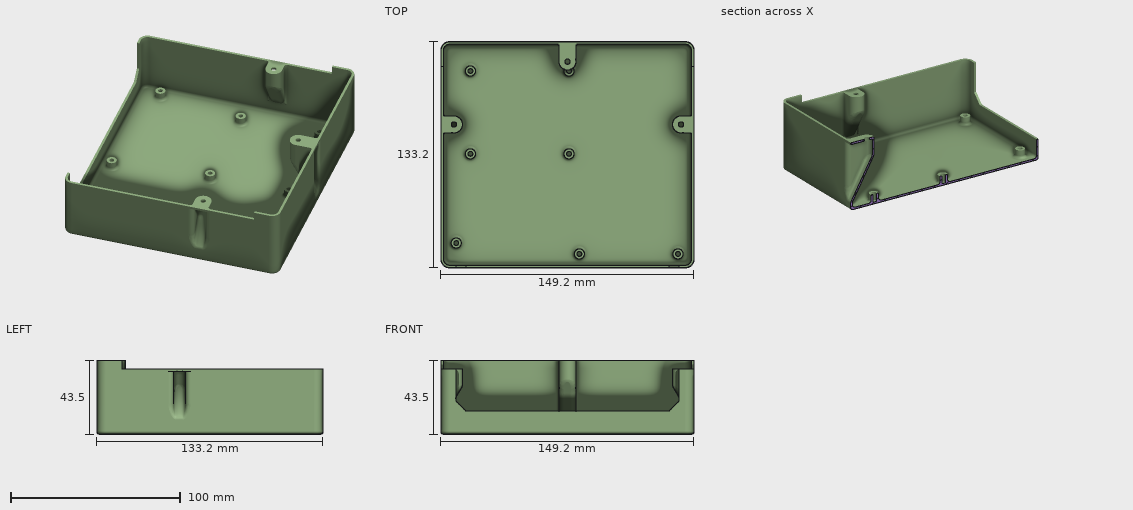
import cadquery as cq
import math

LENGTH = 149.2
WIDTH = 133.2
HEIGHT = 43.5
WALL = 1.5
FLOOR = 1.5
CORNER_RADIUS = 5.4
BOTTOM_FILLET = 1.6
FLOOR_FILLET = 1.8

SIDE_RIM_Z = 38.5
STEP_FROM_BACK = 14.8
OPENING_MARGIN = 9.0
OPENING_SILL_Z = 13.6
OPENING_CHAMFER = 6.0

BOSS_WIDTH = 10.0
BOSS_RADIUS = BOSS_WIDTH / 2
BOSS_SLOPE = 60.0
BOSS_ROOT_FILLET = 1.5
BOSS_EDGE_FILLET = 3.0
RECESS_EDGE_FILLET = 1.8
SCREW_DIAMETER = 3.1
SIDE_BOSS_FROM_BACK = 48.8
SIDE_BOSS_REACH = 7.8
SIDE_BOSS_TIP_HEIGHT = 10.1
BACK_BOSS_REACH = 11.8
BACK_BOSS_TIP_HEIGHT = 12.2

STANDOFF_DIAMETER = 6.0
STANDOFF_HOLE = 2.8
STANDOFF_HEIGHT = 5.0
STANDOFF_FLARE = 1.6
STANDOFFS = [
    (17.5, 17.3),
    (75.5, 17.3),
    (17.5, 66.1),
    (75.5, 66.1),
    (9.1, 118.6),
    (81.6, 125.0),
    (139.7, 125.0),
]

LEFT = -LENGTH / 2
RIGHT = LENGTH / 2
FRONT = -WIDTH / 2
BACK = WIDTH / 2
TOLERANCE = 0.01


def tray():
    """Rounded tray with filleted bottom edges, inside and out."""
    outer = cq.Workplane("XY").rect(LENGTH, WIDTH).extrude(HEIGHT)
    outer = outer.edges("|Z").fillet(CORNER_RADIUS)
    outer = outer.faces("<Z").edges().fillet(BOTTOM_FILLET)
    inner = (
        cq.Workplane("XY", origin=(0, 0, FLOOR))
        .rect(LENGTH - 2 * WALL, WIDTH - 2 * WALL)
        .extrude(HEIGHT)
    )
    inner = inner.edges("|Z").fillet(CORNER_RADIUS - WALL)
    inner = inner.faces("<Z").edges().fillet(FLOOR_FILLET)
    return outer.cut(inner)


def side_rim_cut():
    """Block that lowers the side walls and front wall ahead of the back step."""
    depth = WIDTH - STEP_FROM_BACK
    return (
        cq.Workplane("XY", origin=(0, FRONT, SIDE_RIM_Z))
        .rect(LENGTH, 2 * depth)
        .extrude(HEIGHT)
    )


def front_opening():
    """Opening through the front wall with chamfered lower corners."""
    half = LENGTH / 2 - OPENING_MARGIN
    return (
        cq.Workplane("XZ", origin=(0, FRONT + WALL + TOLERANCE, 0))
        .moveTo(-half, HEIGHT)
        .lineTo(-half, OPENING_SILL_Z + OPENING_CHAMFER)
        .lineTo(-half + OPENING_CHAMFER, OPENING_SILL_Z)
        .lineTo(half - OPENING_CHAMFER, OPENING_SILL_Z)
        .lineTo(half, OPENING_SILL_Z + OPENING_CHAMFER)
        .lineTo(half, HEIGHT)
        .close()
        .extrude(2 * WALL)
    )


def under_slope(root_z, reach, half_width):
    """Wedge below the sloped underside, which starts at root_z on the outer wall face."""
    reach_z = root_z + reach * math.tan(math.radians(BOSS_SLOPE))
    return (
        cq.Workplane("XZ", origin=(0, half_width, 0))
        .moveTo(0, root_z)
        .lineTo(reach, reach_z)
        .lineTo(reach, root_z)
        .close()
        .extrude(2 * half_width)
    )


def tongue(reach, radius, top_z, root_z, edge_fillet):
    """Round-ended tongue along +X with a sloped underside and rounded lower edges."""
    tip = reach + radius
    plan = (
        cq.Workplane("XY", origin=(0, 0, root_z))
        .moveTo(0, -radius)
        .lineTo(reach, -radius)
        .threePointArc((tip, 0), (reach, radius))
        .lineTo(0, radius)
        .close()
        .extrude(top_z - root_z)
    )
    body = plan.cut(under_slope(root_z, tip, radius))
    return body.faces("<Z").edges("not <X").fillet(edge_fillet)


def root_fillet(top_z, root_z):
    """Concave upright fillet between the inner wall face and the +Y flank of a boss."""
    flare = BOSS_ROOT_FILLET
    mid = flare * (1 - math.sqrt(0.5))
    strip = (
        cq.Workplane("XY", origin=(0, 0, root_z))
        .moveTo(0, BOSS_RADIUS)
        .lineTo(WALL + flare, BOSS_RADIUS)
        .threePointArc((WALL + mid, BOSS_RADIUS + mid), (WALL, BOSS_RADIUS + flare))
        .lineTo(0, BOSS_RADIUS + flare)
        .close()
        .extrude(top_z - root_z)
    )
    return strip.cut(under_slope(root_z, WALL + flare, BOSS_RADIUS + flare))


def recess_mouth(body, recess_top):
    """Edges of the recess on the outer wall face, without its flat top edge."""
    region = cq.selectors.BoxSelector(
        (-TOLERANCE, -BOSS_RADIUS, BOTTOM_FILLET + TOLERANCE),
        (TOLERANCE, BOSS_RADIUS, recess_top - TOLERANCE),
    )
    return body.edges(region)


def add_boss(body, wall_face, turn, reach, rim_z, tip_height):
    """Add a hollow screw boss on a wall, centred at the point wall_face of its outer face.

    The body is moved so that the wall faces -X at the origin, then moved back.
    """
    local = body.translate((-wall_face[0], -wall_face[1], 0)).rotate((0, 0, 0), (0, 0, 1), -turn)
    slope = math.radians(BOSS_SLOPE)
    root_z = rim_z - tip_height - (reach + BOSS_RADIUS) * math.tan(slope)

    local = local.union(tongue(reach, BOSS_RADIUS, rim_z, root_z, BOSS_EDGE_FILLET))
    flank_fillet = root_fillet(rim_z, root_z)
    local = local.union(flank_fillet).union(flank_fillet.mirror("XZ"))

    recess_top = rim_z - WALL
    recess_root_z = root_z + WALL / math.cos(slope)
    recess = tongue(reach, BOSS_RADIUS - WALL, recess_top, recess_root_z, RECESS_EDGE_FILLET)
    local = local.cut(recess)
    local = recess_mouth(local, recess_top).fillet(BOSS_ROOT_FILLET + WALL)

    screw_hole = (
        cq.Workplane("XY", origin=(reach, 0, recess_top - WALL))
        .circle(SCREW_DIAMETER / 2)
        .extrude(3 * WALL)
    )
    local = local.cut(screw_hole)
    return local.rotate((0, 0, 0), (0, 0, 1), turn).translate((wall_face[0], wall_face[1], 0))


def standoff():
    """Standoff with a concave flare at its foot, revolved about the Z axis."""
    radius = STANDOFF_DIAMETER / 2
    hole = STANDOFF_HOLE / 2
    flare_mid = STANDOFF_FLARE * (1 - math.sqrt(0.5))
    return (
        cq.Workplane("XZ")
        .moveTo(hole, 0)
        .lineTo(radius + STANDOFF_FLARE, 0)
        .threePointArc((radius + flare_mid, flare_mid), (radius, STANDOFF_FLARE))
        .lineTo(radius, STANDOFF_HEIGHT)
        .lineTo(hole, STANDOFF_HEIGHT)
        .close()
        .revolve(360, (0, 0, 0), (0, 1, 0))
    )


result = tray().cut(side_rim_cut()).cut(front_opening())

side_boss_y = BACK - SIDE_BOSS_FROM_BACK
for wall_x, turn in [(LEFT, 0), (RIGHT, 180)]:
    result = add_boss(
        result, (wall_x, side_boss_y), turn, SIDE_BOSS_REACH, SIDE_RIM_Z, SIDE_BOSS_TIP_HEIGHT
    )
result = add_boss(result, (0, BACK), -90, BACK_BOSS_REACH, HEIGHT, BACK_BOSS_TIP_HEIGHT)

for from_left, from_back in STANDOFFS:
    result = result.union(standoff().translate((LEFT + from_left, BACK - from_back, FLOOR)))